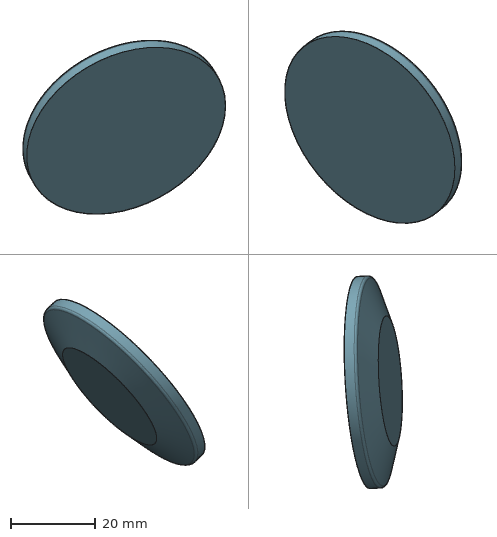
import cadquery as cq

disc_radius = 25.25
face_radius = 15.5
total_thickness = 6.4
rim_thickness = 3.0
rim_fillet = 0.75

back_x = total_thickness / 2
front_x = -back_x
rim_front_x = back_x - rim_thickness

half_profile = (
    cq.Workplane("XY")
    .moveTo(front_x, 0)
    .lineTo(front_x, face_radius)
    .lineTo(rim_front_x, disc_radius)
    .lineTo(back_x, disc_radius)
    .lineTo(back_x, 0)
    .close()
)
disc = half_profile.revolve(360, (0, 0, 0), (1, 0, 0))

rim_edge_picker = cq.selectors.NearestToPointSelector((rim_front_x, 0, 0))
result = disc.edges("%CIRCLE").edges(rim_edge_picker).fillet(rim_fillet)